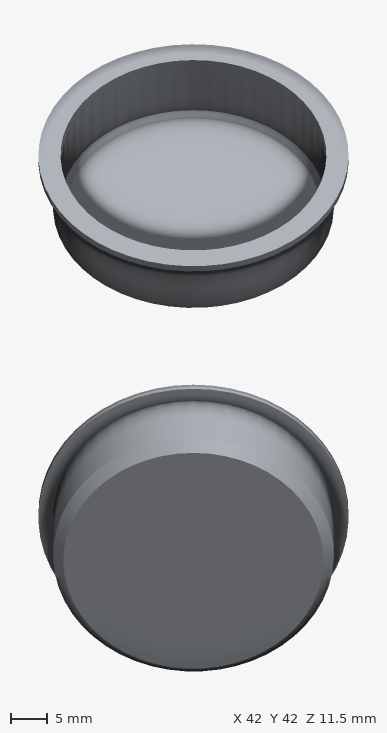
import cadquery as cq
import math

flange_diameter = 42.0
body_diameter = 38.0
cavity_diameter = 36.0
height = 11.5
flange_thickness = 1.0
outer_chamfer = 1.4

wall = (body_diameter - cavity_diameter) / 2
inner_chamfer = outer_chamfer - wall * (2 - math.sqrt(2))

body = (
    cq.Workplane("XY")
    .circle(body_diameter / 2)
    .extrude(height)
    .faces("<Z")
    .edges()
    .chamfer(outer_chamfer)
)

flange = (
    cq.Workplane("XY")
    .workplane(offset=height - flange_thickness)
    .circle(flange_diameter / 2)
    .extrude(flange_thickness)
)

cavity = (
    cq.Workplane("XY")
    .workplane(offset=wall)
    .circle(cavity_diameter / 2)
    .extrude(height - wall)
    .faces("<Z")
    .edges()
    .chamfer(inner_chamfer)
)

result = body.union(flange).cut(cavity)